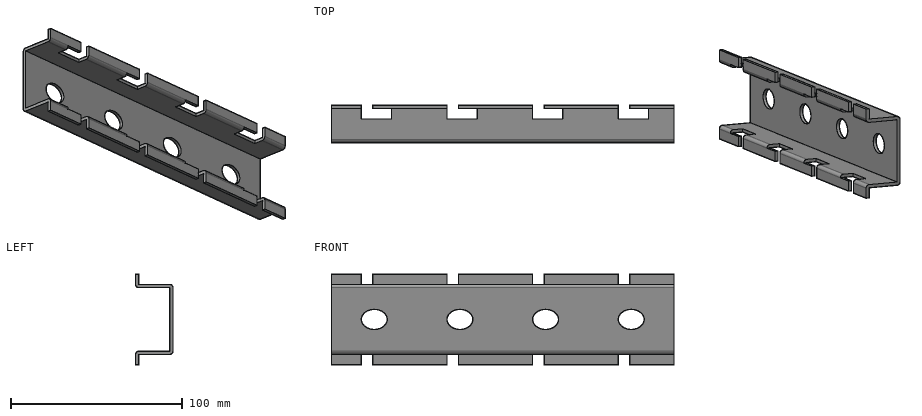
import cadquery as cq

length = 200.0
depth = 22.0
overall_height = 53.0
thickness = 2.0
channel_height = 41.0
bend_radius = 2.0

pitch = 50.0
count = 4

hole_length = 15.0
hole_height = 11.5
first_hole_x = pitch / 2

first_notch_x = first_hole_x - hole_length / 2
first_notch_end_x = 35.0
notch_length = first_notch_end_x - first_notch_x
notch_depth = 8.0
lip_gap = 6.5

half_overall = overall_height / 2
half_channel = channel_height / 2
half_inner = half_channel - thickness


def make_channel():
    """Extrude the bent-sheet section, then round the outer side of its four bends."""
    lip_inner_y = depth - thickness
    upper_half = [
        (thickness, half_inner),
        (depth, half_inner),
        (depth, half_overall),
        (lip_inner_y, half_overall),
        (lip_inner_y, half_channel),
        (0, half_channel),
    ]
    lower_half = [(y, -z) for y, z in reversed(upper_half)]
    channel = cq.Workplane("YZ").polyline(upper_half + lower_half).close().extrude(length)
    outer_bends = [(0, half_channel), (depth, half_inner)]
    for y, z in outer_bends:
        for side in (1, -1):
            bend_edge = cq.selectors.NearestToPointSelector((length / 2, y, side * z))
            channel = channel.edges(bend_edge).fillet(bend_radius)
    return channel


def make_web_hole(center_x):
    """Cutter for one elliptical hole, passing through the web only."""
    return (
        cq.Workplane("XZ")
        .center(center_x, 0)
        .ellipse(hole_length / 2, hole_height / 2)
        .extrude(-depth / 2)
    )


def make_notch(start_x):
    """Cutter for a notch through both flanges, with a narrower gap through both lips.

    The flange cut ends level with the outer faces of the flanges, so the lip beyond the gap
    stays as a free tongue.
    """
    under_lip = cq.Workplane("XY").box(
        notch_length, notch_depth, channel_height, centered=(False, False, True)
    )
    through_lip = cq.Workplane("XY").box(
        lip_gap, notch_depth, overall_height, centered=(False, False, True)
    )
    notch = under_lip.union(through_lip)
    return notch.translate((start_x, depth - notch_depth, 0))


result = make_channel()
for index in range(count):
    offset = index * pitch
    result = result.cut(make_web_hole(first_hole_x + offset))
    result = result.cut(make_notch(first_notch_x + offset))